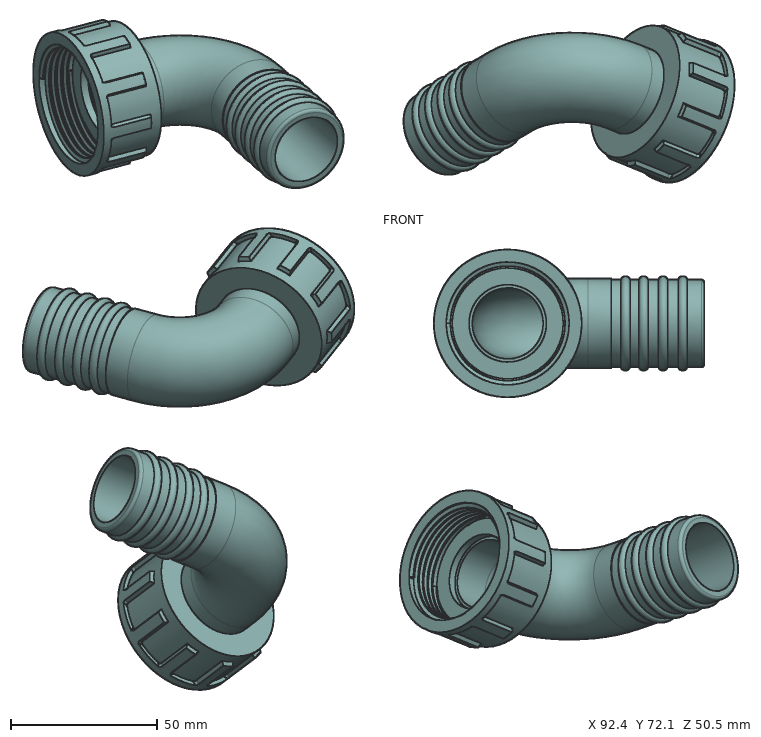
import cadquery as cq
import math


NUT_LENGTH = 23.2
NUT_BODY_RADIUS = 23.75
NUT_OUTER_RADIUS = 25.27
RIM_WIDTH = 3.05
RIB_COUNT = 10
RIB_END = 18.9
RIB_FOOT_WIDTH = 5.0
RIB_DRAFT = 15
RIB_CORNER_RADIUS = 1.1

THREAD_ROOT_RADIUS = 21.0
THREAD_CREST_RADIUS = 19.6
THREAD_PITCH = 2.3
THREAD_TURNS = 5
THREAD_START = 0.1
THREAD_ROOT_WIDTH = 1.85
THREAD_CREST_WIDTH = 0.65
THREAD_EMBED = 0.1

GASKET_FRONT = 11.9
GASKET_THICKNESS = 2.9
GASKET_BACK = GASKET_FRONT + GASKET_THICKNESS
GASKET_RADIUS = 18.9
GASKET_HOLE_RADIUS = 13.2

FLANGE_FRONT = GASKET_BACK
FLANGE_THICKNESS = 3.7
FLANGE_BACK = FLANGE_FRONT + FLANGE_THICKNESS
FLANGE_RADIUS = GASKET_RADIUS
TUBE_RADIUS = 15.3
BORE_RADIUS = 12.1
BEND_RADIUS = 27.3
HOSE_AXIS_Y = 55.9
HOSE_TAIL_START = 35.4
HOSE_TAIL_RADIUS = 15.1
HOSE_TAIL_END_FILLET = 1.1
OVERALL_LENGTH = 92.4
HOSE_TAIL_END = OVERALL_LENGTH - NUT_OUTER_RADIUS
BEAD_CENTRES = [40.2, 46.4, 53.0, 59.8]
BEAD_WIDTH = 3.1
BEAD_RADIUS = 16.2


def disc(radius, start, end):
    """Cylinder on the nut axis, from Y = start to Y = end."""
    return cq.Workplane("XZ", origin=(0, start, 0)).circle(radius).extrude(start - end)


def grip_rib(angle):
    """Drafted rib from the rim to RIB_END, with flared corners at the rim."""
    half = RIB_FOOT_WIDTH / 2
    foot_radius = math.sqrt(NUT_BODY_RADIUS**2 - half**2)
    flare = RIB_CORNER_RADIUS
    rib = (
        cq.Workplane("XY", origin=(0, 0, foot_radius))
        .moveTo(-half, RIB_END)
        .lineTo(half, RIB_END)
        .lineTo(half, RIM_WIDTH + flare)
        .radiusArc((half + flare, RIM_WIDTH), -flare)
        .lineTo(half + flare, RIM_WIDTH / 2)
        .lineTo(-half - flare, RIM_WIDTH / 2)
        .lineTo(-half - flare, RIM_WIDTH)
        .radiusArc((-half, RIM_WIDTH + flare), -flare)
        .close()
        .extrude(NUT_OUTER_RADIUS - foot_radius, taper=RIB_DRAFT)
    )
    return rib.rotate((0, 0, 0), (0, 1, 0), angle)


def thread_ridge():
    """Right-hand ridge of trapezoidal section that starts at the -X side of the open face."""
    helix = cq.Wire.makeHelix(THREAD_PITCH, THREAD_PITCH * THREAD_TURNS, THREAD_ROOT_RADIUS)
    ridge_height = THREAD_ROOT_RADIUS - THREAD_CREST_RADIUS
    flank_slope = (THREAD_ROOT_WIDTH - THREAD_CREST_WIDTH) / 2 / ridge_height
    foot_radius = THREAD_ROOT_RADIUS + THREAD_EMBED
    half_foot = THREAD_ROOT_WIDTH / 2 + THREAD_EMBED * flank_slope
    half_crest = THREAD_CREST_WIDTH / 2
    middle = THREAD_START + THREAD_ROOT_WIDTH / 2
    ridge = (
        cq.Workplane("XZ")
        .polyline([
            (foot_radius, middle - half_foot),
            (THREAD_CREST_RADIUS, middle - half_crest),
            (THREAD_CREST_RADIUS, middle + half_crest),
            (foot_radius, middle + half_foot),
        ])
        .close()
        .sweep(cq.Workplane(helix), isFrenet=True)
    )
    start_at_minus_x = ridge.rotate((0, 0, 0), (0, 0, 1), 180)
    return start_at_minus_x.rotate((0, 0, 0), (1, 0, 0), -90)


def make_nut():
    nut = disc(NUT_BODY_RADIUS, 0, NUT_LENGTH).union(disc(NUT_OUTER_RADIUS, 0, RIM_WIDTH))
    rib_envelope = disc(NUT_OUTER_RADIUS, 0, NUT_LENGTH)
    for index in range(RIB_COUNT):
        rib = grip_rib(90 + index * 360 / RIB_COUNT)
        nut = nut.union(rib.intersect(rib_envelope))
    nut = nut.cut(disc(THREAD_ROOT_RADIUS, 0, FLANGE_FRONT))
    nut = nut.cut(disc(FLANGE_RADIUS, FLANGE_FRONT, FLANGE_BACK))
    nut = nut.cut(disc(TUBE_RADIUS, 0, NUT_LENGTH))
    return nut.union(thread_ridge())


def make_gasket():
    gasket = disc(GASKET_RADIUS, GASKET_FRONT, GASKET_BACK)
    return gasket.cut(disc(GASKET_HOLE_RADIUS, GASKET_FRONT, GASKET_BACK))


def bent_rod(radius, end_x):
    """Solid round rod from the flange face, round the bend and along the hose axis to X = end_x."""
    bend_start_y = HOSE_AXIS_Y - BEND_RADIUS
    path = (
        cq.Workplane("XY")
        .moveTo(0, FLANGE_FRONT)
        .lineTo(0, bend_start_y)
        .radiusArc((BEND_RADIUS, HOSE_AXIS_Y), BEND_RADIUS)
        .lineTo(end_x, HOSE_AXIS_Y)
    )
    return cq.Workplane("XZ", origin=(0, FLANGE_FRONT, 0)).circle(radius).sweep(path)


def hose_tail():
    """Straight hose end with a rounded tip and raised beads."""
    tail = (
        cq.Workplane("YZ", origin=(HOSE_TAIL_START, HOSE_AXIS_Y, 0))
        .circle(HOSE_TAIL_RADIUS)
        .extrude(HOSE_TAIL_END - HOSE_TAIL_START)
        .faces(">X")
        .edges()
        .fillet(HOSE_TAIL_END_FILLET)
    )
    for centre in BEAD_CENTRES:
        tail = tail.union(bead(centre))
    return tail


def bead(centre):
    """Ring of rounded section around the hose axis."""
    start = centre - BEAD_WIDTH / 2
    end = centre + BEAD_WIDTH / 2
    return (
        cq.Workplane("XY", origin=(0, HOSE_AXIS_Y, 0))
        .moveTo(start, 0)
        .lineTo(start, HOSE_TAIL_RADIUS)
        .threePointArc((centre, BEAD_RADIUS), (end, HOSE_TAIL_RADIUS))
        .lineTo(end, 0)
        .close()
        .revolve(360, (0, 0, 0), (1, 0, 0))
    )


def make_elbow():
    flange = disc(FLANGE_RADIUS, FLANGE_FRONT, FLANGE_BACK)
    elbow = bent_rod(TUBE_RADIUS, HOSE_TAIL_START).union(flange).union(hose_tail())
    return elbow.cut(bent_rod(BORE_RADIUS, HOSE_TAIL_END))


nut = make_nut()
gasket = make_gasket()
elbow = make_elbow()

result = cq.Compound.makeCompound([nut.val(), gasket.val(), elbow.val()])